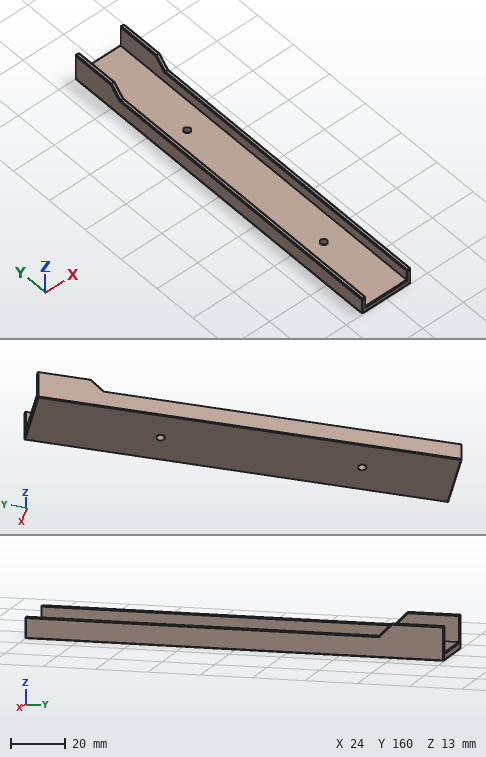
import cadquery as cq
import math

length = 160.0
width = 24.0
tall_height = 13.0

wall = 2.0
floor = 2.9
low_height = 8.0

edge_chamfer = 0.37

tolerance = 0.002

tall_length = 20.0
ramp_length = tall_height - low_height

hole_diameter = 3.0
hole_spacing = 76.0
first_hole_y = 35.0


def side_profile():
    """Solid of the full width with the stepped outline of the walls."""
    outline = [
        (0, 0),
        (length, 0),
        (length, tall_height),
        (length - tall_length, tall_height),
        (length - tall_length - ramp_length, low_height),
        (0, low_height),
    ]
    return cq.Workplane("YZ").polyline(outline).close().extrude(width / 2, both=True)


def channel_space():
    """Space between the walls, above the floor."""
    return (
        cq.Workplane("XY", origin=(0, length / 2, floor))
        .box(width - 2 * wall, length, tall_height, centered=(True, True, False))
    )


def floor_holes():
    """Cutters for the mounting holes."""
    centres = [(0, first_hole_y + i * hole_spacing) for i in range(2)]
    return cq.Workplane("XY").pushPoints(centres).circle(hole_diameter / 2).extrude(floor)


def is_floor_corner(edge):
    """True for the inner corner lines where the walls meet the floor."""
    box = edge.BoundingBox()
    return math.isclose(box.center.z, floor, abs_tol=tolerance) and box.ylen > length / 2


def break_edges(channel):
    """Chamfer the edges of the wall and end faces, leaving the floor corners sharp."""
    edges = channel.faces("|X or |Y").edges().filter(lambda edge: not is_floor_corner(edge))
    return edges.chamfer(edge_chamfer)


channel = side_profile().cut(channel_space())
result = break_edges(channel).cut(floor_holes())